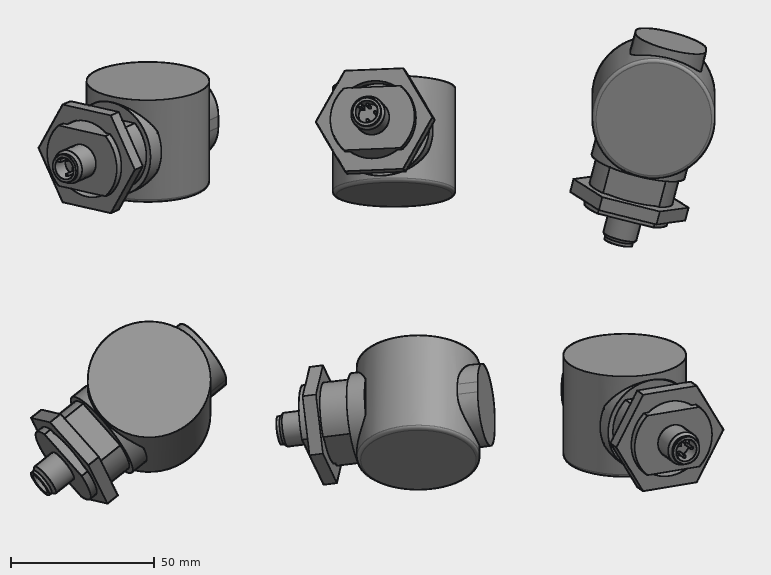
import cadquery as cq
import math


housing_radius = 21.5
housing_height = 37.85
housing_bottom_fillet = 1.3

boss_rear_y = 24.5
boss_width = 25.5
boss_height = 29.6
boss_draft_angle = 0.8

collar_radius = 16.85
collar_back_y = -15.25
collar_front_y = -21.7

neck_radius = 15.0
neck_flat_distance = 22.2
neck_front_y = -39.35

nut_across_flats = 36.0
nut_bore_radius = 13.9
nut_back_y = -31.75
nut_front_y = -36.55

plug_radius = 6.0
plug_tip_radius = 5.05
plug_front_y = -49.87
plug_tip_length = 1.15
plug_chamfer_length = 1.15
socket_radius = 3.95
socket_depth = 6.0
pin_radius = 0.5
pin_length = 4.5
pin_circle_radius = 2.8
pin_angles = (-90, 0, 90)
key_inner_edge = 1.85
key_width = 1.1
key_length = 5.7


def section(y):
    """Workplane at the given Y, facing -Y, with local x = X and local y = Z."""
    return cq.Workplane("XZ", origin=(0, y, 0))


def cylinder_between(radius, back_y, front_y):
    """Round bar on the connector axis."""
    return section(back_y).circle(radius).extrude(back_y - front_y)


def make_housing():
    can = (
        cq.Workplane("XY")
        .workplane(offset=-housing_height / 2)
        .circle(housing_radius)
        .extrude(housing_height)
    )
    return can.faces("<Z").edges().fillet(housing_bottom_fillet)


def make_rear_boss():
    return (
        section(boss_rear_y)
        .slot2D(boss_height, boss_width, 90)
        .extrude(boss_rear_y, taper=-boss_draft_angle)
    )


def make_neck():
    bar = cylinder_between(neck_radius, 0, neck_front_y)
    between_flats = cq.Workplane("XY").box(
        2 * neck_radius, -2 * neck_front_y, neck_flat_distance
    )
    return bar.intersect(between_flats)


def make_nut():
    across_corners = nut_across_flats / math.cos(math.radians(30))
    return (
        section(nut_back_y)
        .polygon(6, across_corners)
        .circle(nut_bore_radius)
        .extrude(nut_back_y - nut_front_y)
    )


def make_plug():
    tip_back_y = plug_front_y + plug_tip_length
    shoulder_y = tip_back_y + plug_chamfer_length
    floor_y = plug_front_y + socket_depth
    profile = [
        (0, neck_front_y),
        (plug_radius, neck_front_y),
        (plug_radius, shoulder_y),
        (plug_tip_radius, tip_back_y),
        (plug_tip_radius, plug_front_y),
        (socket_radius, plug_front_y),
        (socket_radius, floor_y),
        (0, floor_y),
    ]
    sleeve = cq.Workplane("XY").polyline(profile).close().revolve(360, (0, 0, 0), (0, 1, 0))

    pin_points = [
        (
            pin_circle_radius * math.cos(math.radians(angle)),
            pin_circle_radius * math.sin(math.radians(angle)),
        )
        for angle in pin_angles
    ]
    pins = section(floor_y).pushPoints(pin_points).circle(pin_radius).extrude(pin_length)
    return sleeve.union(pins).union(make_key(floor_y))


def make_key(floor_y):
    """Square rib in the upper -X corner of the socket that sets the mating orientation."""
    key_center = key_inner_edge + key_width / 2
    return (
        section(floor_y)
        .center(-key_center, key_center)
        .rect(key_width, key_width)
        .extrude(key_length)
    )


result = (
    make_housing()
    .union(make_rear_boss())
    .union(cylinder_between(collar_radius, collar_back_y, collar_front_y))
    .union(make_neck())
    .union(make_nut())
    .union(make_plug())
)